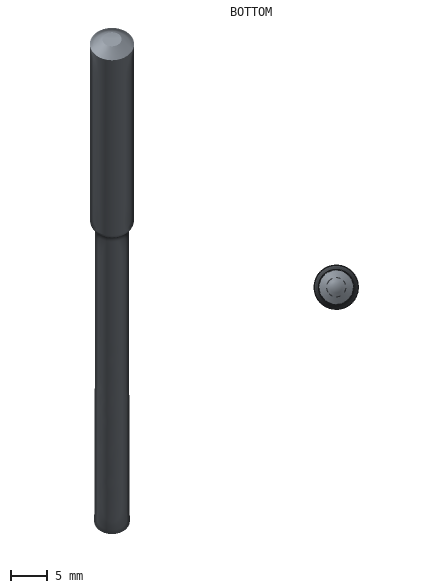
import cadquery as cq
import math

total_length = 97.0

shank_diameter = 6.0
shank_length = 36.0
end_cone_height = 1.0
end_cone_flat_diameter = 2.6
shoulder_height = 1.2
shoulder_round_height = 0.6
shoulder_round_width = 0.2

neck_diameter = 4.7
head_length = 39.4
head_tip_diameter = 4.85
point_angle = 140.0

shank_radius = shank_diameter / 2
neck_radius = neck_diameter / 2
head_tip_radius = head_tip_diameter / 2
end_cone_flat_radius = end_cone_flat_diameter / 2

shank_bottom = total_length - shank_length
shoulder_bottom = shank_bottom - shoulder_height
shoulder_round_radius = (shoulder_round_height**2 + shoulder_round_width**2) / (2 * shoulder_round_width)
shoulder_round_half_angle = math.asin(shoulder_round_height / shoulder_round_radius) / 2
shoulder_round_middle = (
    shank_radius - shoulder_round_radius * (1 - math.cos(shoulder_round_half_angle)),
    shank_bottom - shoulder_round_radius * math.sin(shoulder_round_half_angle),
)
end_cone_bottom = total_length - end_cone_height
point_height = head_tip_radius / math.tan(math.radians(point_angle / 2))


def revolve_about_z(profile):
    """Turn a closed radius-height profile in the XZ plane into a solid."""
    return profile.close().revolve(360, (0, 0, 0), (0, 1, 0))


def make_holder():
    """Shank and neck, with a shoulder between them and a blunt cone on top."""
    profile = (
        cq.Workplane("XZ")
        .moveTo(0, head_length)
        .lineTo(neck_radius, head_length)
        .lineTo(neck_radius, shoulder_bottom)
        .lineTo(shank_radius - shoulder_round_width, shank_bottom - shoulder_round_height)
        .threePointArc(shoulder_round_middle, (shank_radius, shank_bottom))
        .lineTo(shank_radius, end_cone_bottom)
        .lineTo(end_cone_flat_radius, total_length)
        .lineTo(0, total_length)
    )
    return revolve_about_z(profile)


def make_head():
    """Cutting head that widens slightly from the neck to its conical point."""
    profile = (
        cq.Workplane("XZ")
        .moveTo(0, 0)
        .lineTo(head_tip_radius, point_height)
        .lineTo(neck_radius, head_length)
        .lineTo(0, head_length)
    )
    return revolve_about_z(profile)


holder = make_holder()
head = make_head()

result = cq.Compound.makeCompound([holder.val(), head.val()])